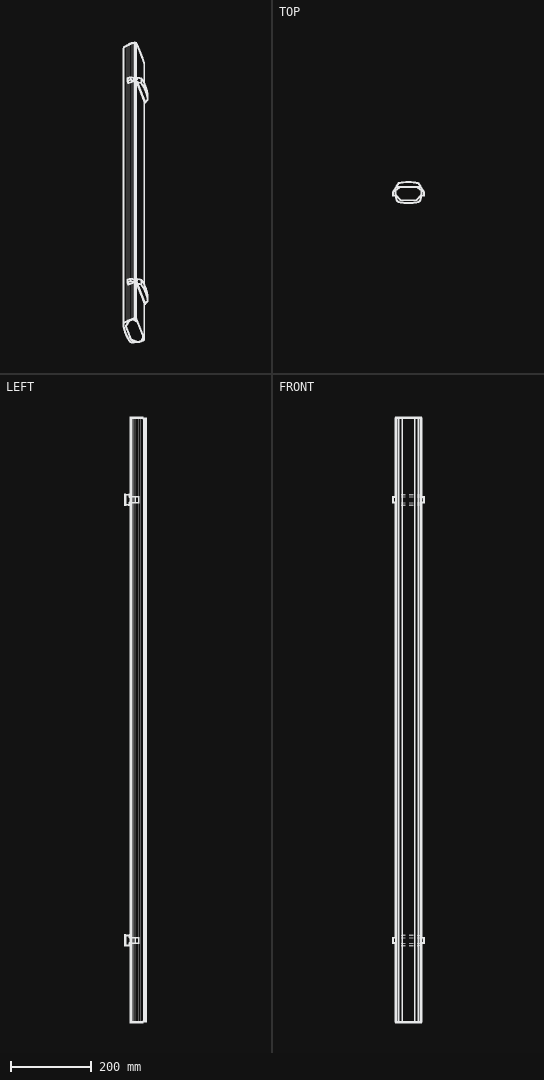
import cadquery as cq
import math

total_length = 1498.5
clip_width = 77.72
total_depth = 52.81
front_y = -total_depth / 2
rear_y = total_depth / 2

crown_radius = 110.0
crown_half_width = 24.5
crown_rise = crown_radius - math.sqrt(crown_radius**2 - crown_half_width**2)

cap_thickness = 3.0
housing_length = total_length - 2 * cap_thickness
housing_rear_y = 12.8
side_points = [
    (29.3, -20.0),
    (31.2, -11.5),
    (32.2, -6.5),
    (32.7, 2.0),
    (32.9, 6.0),
    (32.7, 9.5),
    (30.5, housing_rear_y),
]

lens_half_width = 16.0
lens_thickness = 1.0

cap_front_y = -18.5
cap_front_half_width = 20.0
cap_side_half_width = 32.0
cap_side_front_y = -5.0
cap_side_rear_y = 5.0
cap_rear_half_width = 22.0

clip_z = 545.0
block_height = 27.0
block_front_y = 14.5
block_top_radius = 400.0
arm_height = 14.0
arm_widest_y = 1.0
arm_end_y = -8.0


def mirrored(points):
    return [(-x, y) for x, y in reversed(points)]


def bar(profile, length):
    """Extrude a profile drawn in XY to both sides of Z = 0."""
    return profile.close().extrude(length / 2, both=True)


def housing_blank():
    front_corner = (crown_half_width, front_y + crown_rise)
    profile = (
        cq.Workplane("XY")
        .moveTo(-front_corner[0], front_corner[1])
        .threePointArc((0, front_y), front_corner)
    )
    for point in side_points + mirrored(side_points):
        profile = profile.lineTo(*point)
    return bar(profile, housing_length)


def make_lens():
    """Strip with the crowned front face and a parallel inner face."""
    angle = math.asin(lens_half_width / crown_radius)
    centre_y = front_y + crown_radius
    inner_radius = crown_radius - lens_thickness

    def on_arc(radius, turn):
        return (radius * math.sin(turn), centre_y - radius * math.cos(turn))

    profile = (
        cq.Workplane("XY")
        .moveTo(*on_arc(crown_radius, -angle))
        .threePointArc(on_arc(crown_radius, 0), on_arc(crown_radius, angle))
        .lineTo(*on_arc(inner_radius, angle))
        .threePointArc(on_arc(inner_radius, 0), on_arc(inner_radius, -angle))
    )
    return bar(profile, housing_length)


def make_end_cap(end):
    """Cap on the top (end = 1) or bottom (end = -1) of the housing."""
    right_side = [
        (cap_front_half_width, cap_front_y),
        (cap_side_half_width, cap_side_front_y),
        (cap_side_half_width, cap_side_rear_y),
        (cap_rear_half_width, housing_rear_y),
    ]
    profile = cq.Workplane("XY").polyline(right_side + mirrored(right_side))
    centre_z = end * (housing_length + cap_thickness) / 2
    return bar(profile, cap_thickness).translate((0, 0, centre_z))


def clip_outline():
    rear_corner = (crown_half_width, rear_y - crown_rise)
    half_width = clip_width / 2
    return (
        cq.Workplane("XY")
        .moveTo(-half_width, arm_end_y)
        .lineTo(-half_width, arm_widest_y)
        .lineTo(-rear_corner[0], rear_corner[1])
        .threePointArc((0, rear_y), rear_corner)
        .lineTo(half_width, arm_widest_y)
        .lineTo(half_width, arm_end_y)
    )


def block_envelope():
    """Space behind the arms, bounded above and below by shallow arcs."""
    half_width = clip_width / 2
    middle_z = block_height / 2
    drop = block_top_radius - math.sqrt(block_top_radius**2 - half_width**2)
    edge_z = middle_z - drop
    return (
        cq.Workplane("XZ", origin=(0, rear_y, 0))
        .moveTo(-half_width, -edge_z)
        .threePointArc((0, -middle_z), (half_width, -edge_z))
        .lineTo(half_width, edge_z)
        .threePointArc((0, middle_z), (-half_width, edge_z))
        .close()
        .extrude(rear_y - block_front_y)
    )


def make_clip(z):
    arms = bar(clip_outline(), arm_height)
    block = bar(clip_outline(), block_height).intersect(block_envelope())
    return arms.union(block).cut(housing_blank()).translate((0, 0, z))


lens = make_lens()
housing = housing_blank().cut(lens)
end_caps = [make_end_cap(end) for end in (1, -1)]
clips = [make_clip(z) for z in (clip_z, -clip_z)]

result = cq.Compound.makeCompound(
    [
        housing.val(),
        lens.val(),
        *[solid for cap in end_caps for solid in cap.vals()],
        *[solid for clip in clips for solid in clip.vals()],
    ]
)